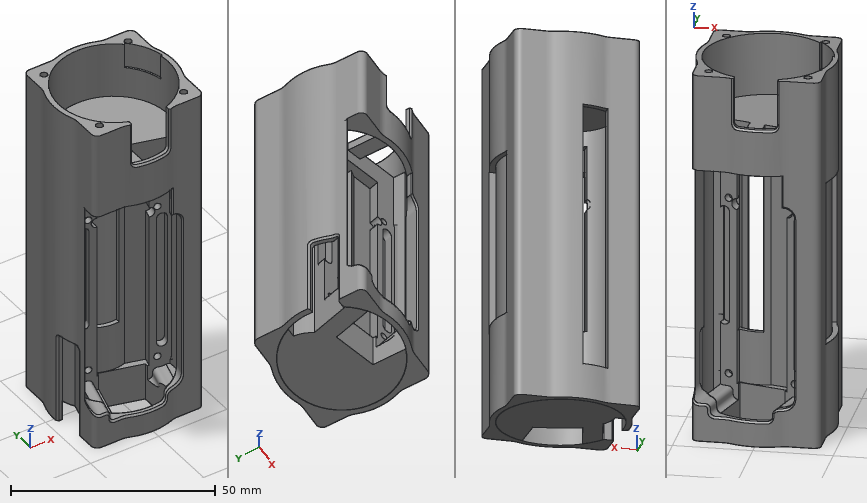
import cadquery as cq
import math

LENGTH = 95.8
SQUARE = 32.0
BULGE_RADIUS = 17.5
BULGE_BLEND = 5.5
CORNER_RADIUS = 1.8
BORE_RADIUS = 16.0
WINDOW_CHAMFER = 0.5
TOLERANCE = 0.01
REACH = 60.0

SCREW_DIAMETER = 1.9
SCREW_OFFSET = 12.35
SCREW_DEPTH = 10.0

NOTCH_WIDTH = 10.9
NOTCH_BOTTOM = 83.0
NOTCH_RADIUS = 1.2

CABLE_Y_MIN = -8.6
CABLE_Y_MAX = -1.3
CABLE_TOP = 26.4
CABLE_RADIUS = 1.0

BACK_OPENING_X = (-7.4, -0.7)
BACK_OPENING_Z = (9.1, 77.0)
SIDE_OPENING_WIDTH = 15.6
SIDE_OPENING_Z = (24.3, 66.6)

RIM_POCKET_RADIUS = 16.5
RIM_POCKET_DEPTH = 7.1
RIM_POCKET_START = 10.8
RIM_POCKET_END = 47.3

BOARD_TILT = 15.0
BOARD_CENTRE = 0.74
BAY_LEFT = -12.42
BAY_RIGHT = 13.3
BAY_BOTTOM = 9.8
BAY_TOP = 62.4
BAY_RADIUS = 2.9
BAY_UPPER_RIGHT = BAY_RIGHT - BAY_RADIUS
BAY_UPPER_TOP = 71.0
PORT_HALF_WIDTH = 7.7
PORT_BOTTOM = 6.6
PORT_RADIUS = 1.3

CORE_RADIUS = 15.9
CORE_TOP = 79.8
LEDGE_V = -4.8
FOOT_TOP = 10.2
FOOT_RIGHT_X = 5.6
BAY_RIGHT_X = 11.3
TONGUE_X = (-3.6, 0.3)
TONGUE_THICKNESS = CORE_TOP - BACK_OPENING_Z[1]

LEDGE_LEFT_U = -10.4
RECESS_LEFT_U = -5.9
RECESS_RIGHT_U = 7.55
RECESS_V = -2.1
RECESS_BOTTOM = 10.8
RECESS_TOP = 73.0
SILL_V = -3.9
FOOT_LEFT_U = -5.5

CHANNEL_BACK_Y = 6.5
CHANNEL_FILLET = 1.9
CHANNEL_FILLET_TOP = 25.0
CHANNEL_FILLET_X = -13.2

TUBE_CENTRE = (-1.7, 7.35)
TUBE_RADIUS = 10.4
BATTERY_RADIUS = 9.2
TUBE_WINDOW_X = (-6.8, -0.4)
TUBE_WINDOW_BOTTOM = 24.6

BOARD_HOLE_SPACING = 17.87
BOARD_HOLE_Z = (13.1, 59.1)
BOARD_HOLE_DEPTH = 2.3
STANDOFF_DIAMETER = 2.9
STANDOFF_Z = 57.8
SLOT_WIDTH = 2.8
SLOT_OFFSET = 10.1
SLOT_TOP = 56.8
LEFT_SLOT_BOTTOM = 25.8
RIGHT_SLOT_BOTTOM = 16.0


def box(x, y, z):
    """A box from three (low, high) pairs."""
    return cq.Workplane("XY").box(
        x[1] - x[0], y[1] - y[0], z[1] - z[0], centered=False
    ).translate((x[0], y[0], z[0]))


def tilted(body):
    """Turn a body built along u and v into the tilt of the circuit board."""
    return body.rotate((0, 0, 0), (0, 0, 1), -BOARD_TILT)


def board_box(u, v, z):
    return tilted(box(u, v, z))


def board_hole(u, z, diameter, depth):
    """A round hole bored into the ledge along v."""
    hole = cq.Workplane("XZ").center(u, z).circle(diameter / 2).extrude(-depth)
    return tilted(hole.translate((0, LEDGE_V, 0)))


def cylinder(centre, radius, z):
    return cq.Workplane("XY", origin=(0, 0, z[0])).center(*centre).circle(radius).extrude(z[1] - z[0])


def outer_blank():
    square = cq.Workplane("XY").rect(SQUARE, SQUARE).extrude(LENGTH).edges("|Z").fillet(CORNER_RADIUS)
    blank = square.union(cylinder((0, 0), BULGE_RADIUS, (0, LENGTH)))
    crossing = math.sqrt(BULGE_RADIUS**2 - (SQUARE / 2) ** 2)
    seams = blank.edges("|Z").filter(
        lambda edge: abs(min(abs(edge.Center().x), abs(edge.Center().y)) - crossing) < TOLERANCE
    )
    return seams.fillet(BULGE_BLEND)


def board_bay():
    """Window and bay for the board, with the lower connector port."""
    depth = (-REACH, LEDGE_V)
    main = box((BAY_LEFT, BAY_RIGHT), depth, (BAY_BOTTOM, BAY_TOP)).edges("|Y").fillet(BAY_RADIUS)
    upper = box((BAY_LEFT, BAY_UPPER_RIGHT), depth, (BAY_TOP - 2 * BAY_RADIUS, BAY_UPPER_TOP))
    port = box(
        (BOARD_CENTRE - PORT_HALF_WIDTH, BOARD_CENTRE + PORT_HALF_WIDTH),
        depth,
        (PORT_BOTTOM, BAY_BOTTOM + BAY_RADIUS),
    ).edges("|Y and <Z").fillet(PORT_RADIUS)
    bay = main.union(upper).union(port)
    port_mouth = bay.edges("|Y").filter(
        lambda edge: abs(edge.Center().z - BAY_BOTTOM) < TOLERANCE
        and abs(abs(edge.Center().x - BOARD_CENTRE) - PORT_HALF_WIDTH) < TOLERANCE
    )
    return tilted(port_mouth.fillet(PORT_RADIUS))


def rim_pocket():
    sector = (
        cq.Workplane("XY", origin=(0, 0, LENGTH - RIM_POCKET_DEPTH))
        .polyline([
            (0, 0),
            *[
                (REACH * math.cos(math.radians(a)), REACH * math.sin(math.radians(a)))
                for a in (RIM_POCKET_START, RIM_POCKET_END)
            ],
        ])
        .close()
        .extrude(RIM_POCKET_DEPTH)
    )
    return sector.intersect(cylinder((0, 0), RIM_POCKET_RADIUS, (0, LENGTH)))


def window_edges(body, blank):
    """The edges where windows break through the outer skin, save the sharp top of the bay."""
    skin = blank.val().Shells()[0]
    profile_lines = blank.edges("|Z").vals()
    sharp_heights = (0, BAY_UPPER_TOP, LENGTH)

    def is_window_edge(edge):
        samples = [cq.Vertex.makeVertex(*edge.positionAt(t).toTuple()) for t in (0.1, 0.5, 0.9)]
        if any(abs(edge.Center().z - height) < TOLERANCE for height in sharp_heights):
            return False
        if any(skin.distance(sample) > TOLERANCE for sample in samples):
            return False
        return all(line.distance(samples[1]) > TOLERANCE for line in profile_lines)

    return body.edges().filter(is_window_edge)


def make_shell():
    blank = outer_blank()
    notch = box(
        (-NOTCH_WIDTH / 2, NOTCH_WIDTH / 2), (-REACH, 0), (NOTCH_BOTTOM, LENGTH + NOTCH_RADIUS)
    ).edges("|Y").fillet(NOTCH_RADIUS)
    cable_window = box(
        (-REACH, 0), (CABLE_Y_MIN, CABLE_Y_MAX), (-CABLE_RADIUS, CABLE_TOP)
    ).edges("|X").fillet(CABLE_RADIUS)
    body = blank.cut(cylinder((0, 0), BORE_RADIUS, (0, LENGTH)))
    for window in (notch, cable_window, board_bay()):
        body = body.cut(window)
    body = window_edges(body, blank).chamfer(WINDOW_CHAMFER)

    half_side = SIDE_OPENING_WIDTH / 2
    body = body.cut(box(BACK_OPENING_X, (0, REACH), BACK_OPENING_Z))
    body = body.cut(box((0, REACH), (-half_side, half_side), SIDE_OPENING_Z))
    body = body.cut(rim_pocket())
    screw_square = 2 * SCREW_OFFSET
    screws = (
        cq.Workplane("XY", origin=(0, 0, LENGTH - SCREW_DEPTH))
        .rect(screw_square, screw_square, forConstruction=True)
        .vertices()
        .circle(SCREW_DIAMETER / 2)
        .extrude(SCREW_DEPTH)
    )
    return body.cut(screws)


def battery_tube():
    """Tube around the battery with the fillet that joins it to the wire channel."""
    tube = cylinder(TUBE_CENTRE, TUBE_RADIUS, (0, CORE_TOP))
    fillet_y = CHANNEL_BACK_Y - CHANNEL_FILLET
    fillet_z = (FOOT_TOP, CHANNEL_FILLET_TOP)
    corner = box(
        (CHANNEL_FILLET_X, CHANNEL_FILLET_X + CHANNEL_FILLET), (fillet_y, CHANNEL_BACK_Y), fillet_z
    ).cut(cylinder((CHANNEL_FILLET_X, fillet_y), CHANNEL_FILLET, fillet_z))
    return tube.union(corner)


def make_core():
    full_height = (0, CORE_TOP)
    core = cylinder((0, 0), CORE_RADIUS, full_height)

    front = board_box((-REACH, REACH), (-REACH, LEDGE_V), full_height)
    front = front.intersect(box((-REACH, BAY_RIGHT_X), (-REACH, REACH), full_height))
    feet_z = (0, FOOT_TOP)
    left_foot = board_box((LEDGE_LEFT_U, FOOT_LEFT_U), (-REACH, LEDGE_V), feet_z)
    right_foot = box((FOOT_RIGHT_X, REACH), (-REACH, 0), feet_z)
    tongue = box(TONGUE_X, (-REACH, 0), (CORE_TOP - TONGUE_THICKNESS, CORE_TOP))
    for kept in (left_foot, right_foot, tongue):
        front = front.cut(kept)
    core = core.cut(front)

    recess = board_box(
        (RECESS_LEFT_U, RECESS_RIGHT_U), (-REACH, RECESS_V), (RECESS_BOTTOM, RECESS_TOP)
    )
    sill = board_box((FOOT_LEFT_U, REACH), (-REACH, SILL_V), (0, RECESS_BOTTOM))
    sill = sill.intersect(box((-REACH, FOOT_RIGHT_X), (-REACH, REACH), (0, RECESS_BOTTOM)))
    core = core.cut(recess.cut(battery_tube())).cut(sill)

    channel = board_box((-REACH, LEDGE_LEFT_U), (-REACH, REACH), full_height)
    channel = channel.intersect(box((-REACH, 0), (-REACH, CHANNEL_BACK_Y), full_height))
    core = core.cut(channel.cut(battery_tube()))

    core = core.cut(cylinder(TUBE_CENTRE, BATTERY_RADIUS, BACK_OPENING_Z))
    core = core.cut(
        box(TUBE_WINDOW_X, (-TUBE_RADIUS, TUBE_CENTRE[1]), (TUBE_WINDOW_BOTTOM, RECESS_TOP))
    )

    half_spacing = BOARD_HOLE_SPACING / 2
    for u in (BOARD_CENTRE - half_spacing, BOARD_CENTRE + half_spacing):
        for z in BOARD_HOLE_Z:
            core = core.cut(board_hole(u, z, SCREW_DIAMETER, BOARD_HOLE_DEPTH))
    for u in (RECESS_LEFT_U, RECESS_RIGHT_U):
        core = core.cut(board_hole(u, STANDOFF_Z, STANDOFF_DIAMETER, RECESS_V - LEDGE_V))
    for side, bottom in ((-1, LEFT_SLOT_BOTTOM), (1, RIGHT_SLOT_BOTTOM)):
        centre = BOARD_CENTRE + side * SLOT_OFFSET
        slot = box(
            (centre - SLOT_WIDTH / 2, centre + SLOT_WIDTH / 2),
            (LEDGE_V, LEDGE_V + BOARD_HOLE_DEPTH),
            (bottom, SLOT_TOP),
        ).edges("|Y").fillet(SLOT_WIDTH / 2 - TOLERANCE)
        core = core.cut(tilted(slot))
    return core.cut(board_bay())


shell = make_shell()
core = make_core()
result = cq.Compound.makeCompound([shell.val(), core.val()])